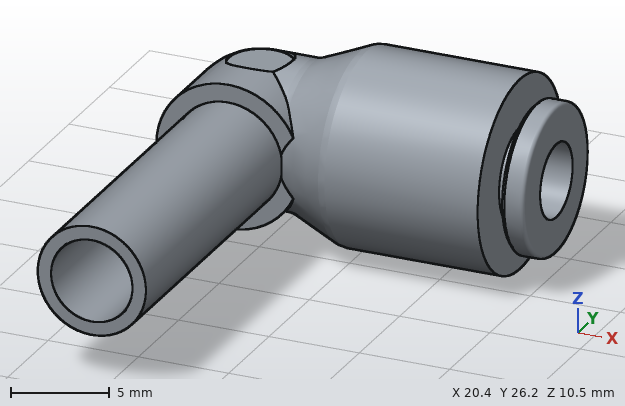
import cadquery as cq

overall_length = 20.35
overall_depth = 26.2

elbow_radius = 3.98
elbow_face = 4.03

body_diameter = 10.5
body_radius = body_diameter / 2
shoulder_start = 2.7
shoulder_end = 5.69
shoulder_blend = 1.0
body_end = 14.35

neck_radius = 2.6
flange_radius = 4.05
flange_start = 15.1
flange_edge = 0.2
collar_end = overall_length - elbow_radius

stem_diameter = 6.0
stem_radius = stem_diameter / 2
stem_end = overall_depth - body_radius

stem_bore_radius = 2.25
body_bore_radius = 2.02

recess_radius = 1.75
recess_floor = 3.55


def rod_x(radius, start, end):
    return cq.Workplane("YZ", origin=(start, 0, 0)).circle(radius).extrude(end - start)


def rod_y(radius, start, end):
    """Cylinder running toward -Y; start and end are distances from the origin."""
    return cq.Workplane("XZ", origin=(0, -start, 0)).circle(radius).extrude(end - start)


def make_body():
    """Barrel, cone and cylinder turned about X, with both edges of the cone blended."""
    pick_margin = 0.03
    body = (
        cq.Workplane("XY")
        .polyline([
            (0, 0),
            (0, elbow_radius),
            (shoulder_start, elbow_radius),
            (shoulder_end, body_radius),
            (body_end, body_radius),
            (body_end, 0),
        ])
        .close()
        .revolve(360, (0, 0, 0), (1, 0, 0))
    )
    for x in (shoulder_start, shoulder_end):
        shoulder_edge = cq.selectors.BoxSelector(
            (x - pick_margin, -body_diameter, -body_diameter),
            (x + pick_margin, body_diameter, body_diameter),
            boundingbox=True,
        )
        body = body.edges(shoulder_edge).fillet(shoulder_blend)
    return body


def make_collar():
    neck = rod_x(neck_radius, 0, collar_end)
    flange = rod_x(flange_radius, flange_start, collar_end)
    flange = flange.faces("<X").edges().chamfer(flange_edge)
    flange = flange.faces(">X").edges().fillet(flange_edge)
    return neck.union(flange)


def make_elbow():
    corner = cq.Workplane("XY").sphere(elbow_radius)
    return corner.union(rod_y(elbow_radius, 0, elbow_face))


def make_passages():
    """The stem bore stops at the body axis, where the narrower body bore starts in a round end."""
    stem_bore = rod_y(stem_bore_radius, 0, stem_end)
    body_bore = rod_x(body_bore_radius, 0, collar_end)
    round_end = cq.Workplane("XY").sphere(body_bore_radius)
    return stem_bore.union(body_bore).union(round_end)


def make_recess():
    return (
        cq.Workplane("XY", origin=(0, 0, recess_floor))
        .circle(recess_radius)
        .extrude(elbow_radius - recess_floor)
    )


stem = rod_y(stem_radius, 0, stem_end)
result = (
    make_body()
    .union(make_collar())
    .union(make_elbow())
    .union(stem)
    .cut(make_passages())
    .cut(make_recess())
)